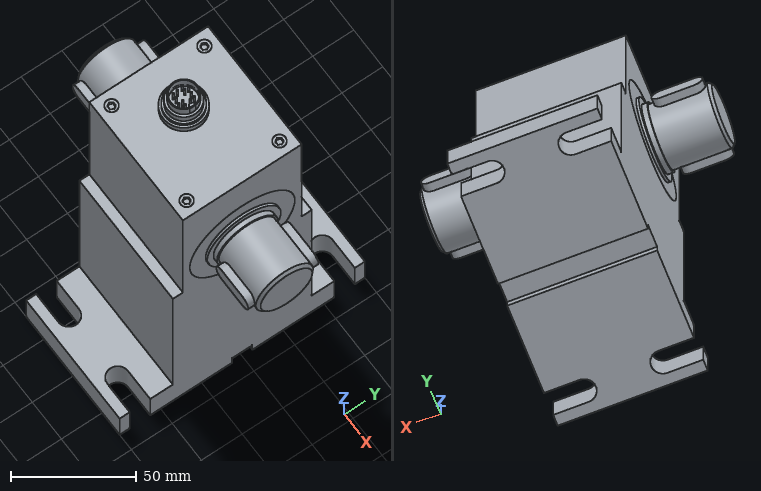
import cadquery as cq
import math

BODY_WIDTH = 64.3
TOTAL_HEIGHT = 172.0

FOOT_DEPTH = 120.0
FOOT_HEIGHT = 15.0
STAND_DEPTH = 68.0
STAND_TOP = 93.2
KEYWAY_WIDTH = 10.0
KEYWAY_HEIGHT = 4.1
SLOT_WIDTH = 10.0
SLOT_OFFSET_Y = 50.0
SLOT_TIP_X = 11.9

HOUSING_DEPTH = 58.1
HOUSING_TOP = 159.1

SCREW_HEAD_DIAMETER = 5.8
SCREW_HEAD_RECESS = 0.2
SCREW_SPACING_X = 51.6
SCREW_SPACING_Y = 45.5
SOCKET_ACROSS_CORNERS = 3.5
SOCKET_DEPTH = 1.7

CONNECTOR_X = -8.0
CONNECTOR_RIM_DIAMETER = 13.5
CONNECTOR_STEPS = [
    (20.3, 3.1),
    (18.0, 4.6),
    (15.8, 8.3),
    (CONNECTOR_RIM_DIAMETER, TOTAL_HEIGHT - HOUSING_TOP),
]
CONNECTOR_BORE_DIAMETER = 12.5
CONNECTOR_BORE_DEPTH = 5.5
PIN_DIAMETER = 0.75
PIN_HEIGHT = 4.8
PIN_PATTERN_ANGLE = 45.0
PIN_POSITIONS = [(4.3, 0), (3.3, 30), (4.3, 73), (2.5, 90)]
RIB_WIDTH = 3.0
RIB_TIP_RADIUS = 4.5
RIB_DROP = 0.9

SHAFT_Z = 112.0
SHAFT_LENGTH = 125.0
ROTOR_DIAMETER = 51.5
COLLAR_DIAMETER = 36.0
COLLAR_END = 33.4
SHOULDER_DIAMETER = 30.0
SHOULDER_END = 35.8
JOURNAL_DIAMETER = 28.0
JOURNAL_CHAMFER = 1.4

KEY_LENGTH = 22.0
KEY_WIDTH = 8.0
KEY_CENTER_X = 49.4
KEY_REACH = 17.2


def block(depth, bottom, top):
    """Box of full body width, centred in X and Y, between two heights."""
    return (
        cq.Workplane("XY", origin=(0, 0, bottom))
        .rect(BODY_WIDTH, depth)
        .extrude(top - bottom)
    )


def x_cylinder(diameter, half_length):
    """Cylinder on the shaft axis, centred at X = 0."""
    return (
        cq.Workplane("YZ", origin=(0, 0, SHAFT_Z))
        .circle(diameter / 2)
        .extrude(half_length, both=True)
    )


def foot_slots():
    """Four open-ended mounting slots through the foot."""
    outer_x = BODY_WIDTH
    length = outer_x - SLOT_TIP_X
    center_x = SLOT_TIP_X + length / 2
    centers = [(sx * center_x, sy * SLOT_OFFSET_Y) for sx in (-1, 1) for sy in (-1, 1)]
    return (
        cq.Workplane("XY")
        .pushPoints(centers)
        .slot2D(length, SLOT_WIDTH)
        .extrude(FOOT_HEIGHT)
    )


def cut_screws(housing):
    """Recessed heads of the lid screws, each with a hexagon socket."""
    lid = cq.Workplane("XY", origin=(0, 0, HOUSING_TOP))
    grid = lid.rarray(SCREW_SPACING_X, SCREW_SPACING_Y, 2, 2)
    heads = grid.circle(SCREW_HEAD_DIAMETER / 2).extrude(-SCREW_HEAD_RECESS)
    sockets = grid.polygon(6, SOCKET_ACROSS_CORNERS).extrude(-SOCKET_DEPTH)
    return housing.cut(heads).cut(sockets)


def connector_plane(z):
    """Horizontal workplane centred on the connector axis."""
    return cq.Workplane("XY", origin=(CONNECTOR_X, 0, z))


def make_pins(floor_z):
    """Contact pins: the quarter pattern mirrored about both pattern axes."""
    points = set()
    for radius, angle in PIN_POSITIONS:
        for mirrored in (angle, -angle, 180 - angle, 180 + angle):
            turn = math.radians(PIN_PATTERN_ANGLE + mirrored)
            points.add((round(radius * math.cos(turn), 3), round(radius * math.sin(turn), 3)))
    return (
        connector_plane(floor_z)
        .pushPoints(sorted(points))
        .circle(PIN_DIAMETER / 2)
        .extrude(PIN_HEIGHT)
    )


def make_connector():
    """Stepped plug connector with contact pins and a coding rib in its bore."""
    connector = None
    for diameter, height in CONNECTOR_STEPS:
        step = connector_plane(HOUSING_TOP).circle(diameter / 2).extrude(height)
        connector = connector.union(step) if connector else step
    floor_z = TOTAL_HEIGHT - CONNECTOR_BORE_DEPTH
    bore = connector_plane(floor_z).circle(CONNECTOR_BORE_DIAMETER / 2).extrude(CONNECTOR_BORE_DEPTH)

    rib_length = CONNECTOR_RIM_DIAMETER - RIB_TIP_RADIUS
    rib = (
        connector_plane(floor_z)
        .center(RIB_TIP_RADIUS + rib_length / 2, 0)
        .slot2D(rib_length, RIB_WIDTH)
        .extrude(CONNECTOR_BORE_DEPTH - RIB_DROP)
        .intersect(bore)
    )
    return connector.cut(bore).union(rib).union(make_pins(floor_z))


def make_housing():
    """Sensor housing in one piece with its stand and slotted foot."""
    foot = block(FOOT_DEPTH, 0, FOOT_HEIGHT).cut(foot_slots())
    stand = block(STAND_DEPTH, 0, STAND_TOP)
    upper = block(HOUSING_DEPTH, 0, HOUSING_TOP)
    keyway = block(KEYWAY_WIDTH, 0, KEYWAY_HEIGHT)
    rotor_bore = x_cylinder(ROTOR_DIAMETER, BODY_WIDTH / 2)
    return cut_screws(foot.union(stand).union(upper).cut(keyway).cut(rotor_bore))


def make_keys():
    """Two opposite feather keys on each shaft end."""
    return (
        cq.Workplane("XZ", origin=(0, 0, SHAFT_Z))
        .pushPoints([(-KEY_CENTER_X, 0), (KEY_CENTER_X, 0)])
        .slot2D(KEY_LENGTH, KEY_WIDTH)
        .extrude(KEY_REACH, both=True)
    )


def make_shaft():
    """Rotor flush with the housing sides, with a stepped and keyed shaft end on each side."""
    journal = x_cylinder(JOURNAL_DIAMETER, SHAFT_LENGTH / 2).faces("<X or >X").chamfer(JOURNAL_CHAMFER)
    return (
        journal
        .union(x_cylinder(ROTOR_DIAMETER, BODY_WIDTH / 2))
        .union(x_cylinder(COLLAR_DIAMETER, COLLAR_END))
        .union(x_cylinder(SHOULDER_DIAMETER, SHOULDER_END))
        .union(make_keys())
    )


housing = make_housing()
connector = make_connector()
shaft = make_shaft()

result = cq.Compound.makeCompound([housing.val(), connector.val(), shaft.val()])